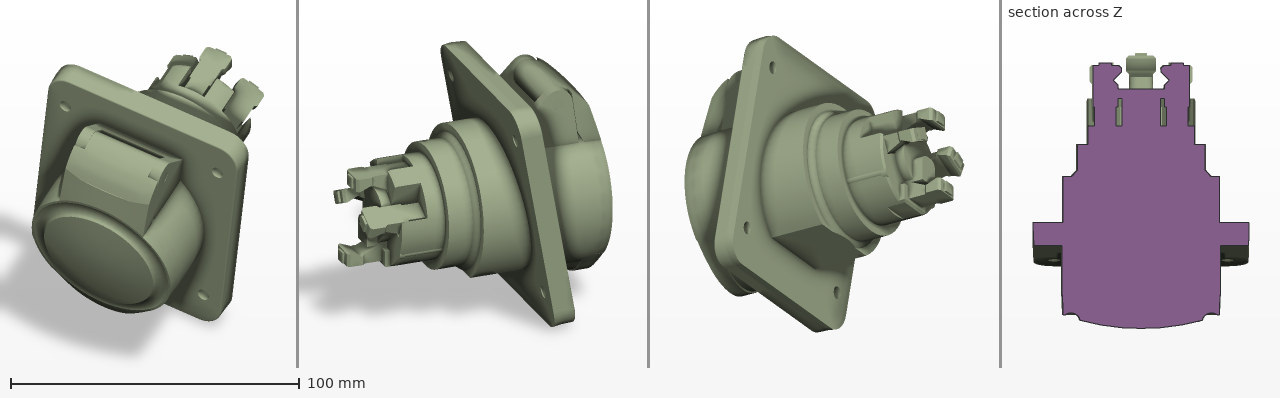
import cadquery as cq
import math


TILT = 10.0
PLATE_WIDTH = 75.0
PLATE_HEIGHT = 85.0
CORNER_R = 8.0
BASE_THICK = 3.0
PLATE_THICK = 8.0
COVER_DRAFT = 3.0
COVER_EDGE_R = 0.5
PLATE_CENTRE_Z = 3.25
PLATE_FRONT_AT_AXIS = 0.0
HOLE_PITCH = 60.0
HOLE_D = 4.4
HOLE_CENTRE_Z = 3.86

LID_FACE_Y = -23.5
LID_SEAM_Y = -16.5
REAR_BODY_START_Y = 2.0
REAR_BODY_END_Y = 24.6
NECK_START_Y = 26.7
NECK_END_Y = 35.6
CORE_END_Y = 51.5
BOSS_END_Y = 54.95
FRONT_BODY_R = 27.7
LID_FACE_R = 27.4
REAR_BODY_R = 27.4
REAR_FLAT_Z = -23.2
NECK_R = 22.5
COLLAR_R = 24.4
CORE_R = 18.9
CORE_CHAMFER_LENGTH = 0.9
CORE_CHAMFER_DEPTH = 0.4
BOSS_R = 10.0

LUG_R = 17.0
BODY_LUG_BOTTOM = -31.2
LID_LUG_BOTTOM = -31.9

ARM_BEVEL_R = 27.6
ARM_BEVEL_ANGLE = 20.5
LUG_BEVEL_R = 26.5
LUG_BEVEL_ANGLE = 19.0
GROOVE_OUTER_R = 26.5
GROOVE_MID_R = 23.9
GROOVE_DEPTH = 0.55
DOME_EDGE_R = 21.5
DOME_EDGE_RISE = 1.9
DOME_RISE = 4.83

HINGE_HALF_WIDTH = 16.45
KNUCKLE_HALF_WIDTH = 12.45
PIN_Y = -7.5
PIN_Z = 38.0
PIN_R = 2.05
PIN_RECESS = 0.1
EAR_R = 5.4
KNUCKLE_R = 5.2
NOTCH_REAR_Y = 0.0
NOTCH_FLOOR_Z = 28.0
HINGE_ROOT_Z = 15.0
EAR_FRONT_ANGLE = 8.0
RAMP_RUN = 12.0
LID_GAP = 0.15
GAP_FLARE_TOP_Z = 26.5
GAP_FLARE_Y = -17.2
GAP_FLARE_Z = 22.15
LID_BACK_Y = -8.66
LID_BACK_Z = 43.2
LID_MID_Y = -16.9
LID_MID_Z = 39.3
LID_SHOULDER_Y = -20.6
LID_SHOULDER_Z = 34.8
LID_CROWN_R = 150.0

CONTACT_RADIUS = 16.25
SIDE_CONTACT_X = 13.25
SIDE_CONTACT_Z = 4.95
SIDE_CONTACT_TURN = 25.0
EARTH_EXTRA = 3.4
CONTACT_END_Y = 63.0
HEAD_HALF = 5.13
SHANK_HALF = 4.15
ROOT_HALF = 3.5
SLOT_HALF = 5.2
SLOT_FLOOR_Y = 42.0
SLOT_DEPTH = 6.5
HEAD_LENGTH = 5.6
HEAD_CHAMFER = 0.9
ROOT_STEP_Y = 48.4
LIP_DEPTH = 4.75
LIP_LENGTH = 1.1
WAIST_DEPTH = 3.07
WAIST_LENGTH = 5.2
WEDGE_SLOPE = 0.44
NUB_HALF = 2.05
NUB_LENGTH = 0.85
NUB_TOP = 0.4
NUB_BOTTOM = 4.3

TERMINAL_HALF = 4.1
TERMINAL_TOP = -0.15
TERMINAL_BOTTOM = -10.1
TERMINAL_ROUND = 2.9
TERMINAL_END_Y = 58.9
RIB_Z = -9.4
RIB_R = 1.55
RIB_HEAD_R = 2.3
RIB_AXIS_R = 17.6
RIB_HEAD_AXIS_R = 16.9
RIB_HEAD_LENGTH = 2.1
FOOT_HALF = 7.0
FOOT_TOP = -11.5
FOOT_BOTTOM = -18.1
FOOT_END_Y = 53.4
FOOT_CHAMFER = 0.8
CORE_FLAT_START_Y = 45.4

SIN_TILT = math.sin(math.radians(TILT))
COS_TILT = math.cos(math.radians(TILT))
TAN_TILT = SIN_TILT / COS_TILT


def disc(radius, y_start, y_end, x=0.0, z=0.0):
    """Cylinder parallel to Y."""
    return cq.Workplane("XZ", origin=(0, y_end, 0)).center(x, z).circle(radius).extrude(y_end - y_start)


def block(x_range, y_range, z_range):
    """Axis-aligned box given by its limits."""
    lows, highs = zip(x_range, y_range, z_range)
    size = [high - low for low, high in zip(lows, highs)]
    return cq.Workplane("XY").box(*size, centered=False).translate(lows)


def revolve_about_y(profile):
    """Turn a profile drawn as (radius, y) about the socket axis."""
    return profile.close().revolve(360, (0, 0, 0), (0, 1, 0))


def tilt_with_plate(shape):
    """Place a shape whose origin is the middle of the plate seam plane."""
    seam_y = PLATE_FRONT_AT_AXIS + (PLATE_THICK - BASE_THICK) / COS_TILT + PLATE_CENTRE_Z * TAN_TILT
    seam_y -= BASE_THICK / 2 * SIN_TILT * TAN_TILT
    seam_z = PLATE_CENTRE_Z + BASE_THICK / 2 * SIN_TILT
    return shape.rotate((0, 0, 0), (1, 0, 0), -TILT).translate((0, seam_y, seam_z))


def rounded_outline(width, height, radius):
    return cq.Sketch().rect(width, height).vertices().fillet(radius)


def make_plate():
    """Slab with a drafted front cover that runs forward along Y, and four holes parallel to Y."""
    cover_thick = PLATE_THICK - BASE_THICK
    inset = cover_thick * math.tan(math.radians(COVER_DRAFT))
    outer = rounded_outline(PLATE_WIDTH, PLATE_HEIGHT, CORNER_R)
    front = rounded_outline(PLATE_WIDTH - 2 * inset, PLATE_HEIGHT - 2 * inset, CORNER_R - inset)
    slump = cq.Location(cq.Vector(0, -cover_thick * TAN_TILT, cover_thick))
    slab = cq.Workplane("XZ").placeSketch(outer).extrude(-BASE_THICK)
    cover = cq.Workplane("XZ").placeSketch(outer, front.moved(slump)).loft()
    cover = cover.faces("<Y").edges().fillet(COVER_EDGE_R)
    plate = tilt_with_plate(slab.union(cover))
    hole_half_rise = HOLE_PITCH / 2 * COS_TILT
    for x in (-HOLE_PITCH / 2, HOLE_PITCH / 2):
        for z in (HOLE_CENTRE_Z - hole_half_rise, HOLE_CENTRE_Z + hole_half_rise):
            plate = plate.cut(disc(HOLE_D / 2, -PLATE_WIDTH, PLATE_WIDTH, x, z))
    return plate


def latch_lug(bottom, y_start, y_end):
    """Rounded toe below the body, widening upwards along 45 degree tangents."""
    centre_z = bottom + LUG_R
    diagonal = math.sqrt(0.5)
    foot = (LUG_R - centre_z * diagonal) * diagonal
    tangent_x = LUG_R * diagonal
    tangent_z = centre_z - LUG_R * diagonal
    toe = (
        cq.Workplane("XZ", origin=(0, y_end, 0))
        .moveTo(-foot, -foot)
        .lineTo(-tangent_x, tangent_z)
        .threePointArc((0, bottom), (tangent_x, tangent_z))
        .lineTo(foot, -foot)
        .lineTo(0, 0)
        .close()
    )
    return toe.extrude(y_end - y_start)


def lid_bevel(face_r, angle):
    """Solid cone that bevels whatever reaches beyond face_r at the lid face."""
    back_y = PLATE_WIDTH
    back_r = face_r + (back_y - LID_FACE_Y) / math.tan(math.radians(angle))
    profile = cq.Workplane("XY").moveTo(0, LID_FACE_Y).lineTo(face_r, LID_FACE_Y)
    return revolve_about_y(profile.lineTo(back_r, back_y).lineTo(0, back_y))


def make_front_body():
    shell = disc(FRONT_BODY_R, LID_SEAM_Y, PLATE_WIDTH)
    shell = shell.union(latch_lug(BODY_LUG_BOTTOM, LID_SEAM_Y, PLATE_WIDTH))
    reach = 2 * PLATE_HEIGHT
    ahead_of_seam = tilt_with_plate(block((-reach, reach), (-reach, 0), (-reach, reach)))
    shell = shell.intersect(ahead_of_seam)
    lid_rim = revolve_about_y(
        cq.Workplane("XY")
        .moveTo(0, LID_FACE_Y)
        .lineTo(LID_FACE_R, LID_FACE_Y)
        .lineTo(FRONT_BODY_R, LID_SEAM_Y)
        .lineTo(0, LID_SEAM_Y)
    )
    lid_lug = latch_lug(LID_LUG_BOTTOM, LID_FACE_Y, LID_SEAM_Y)
    bevel_waste = lid_lug.cut(lid_bevel(LUG_BEVEL_R, LUG_BEVEL_ANGLE))
    return shell.union(lid_rim).union(lid_lug).cut(bevel_waste)


def add_lid_dome(body):
    """Domed centre surrounded by a hollow ring."""
    edge_y = LID_FACE_Y - DOME_EDGE_RISE
    tip_y = LID_FACE_Y - DOME_RISE
    rise = DOME_RISE - DOME_EDGE_RISE
    sphere_r = (DOME_EDGE_R**2 + rise**2) / (2 * rise)
    mid_r = DOME_EDGE_R / 2
    mid_y = tip_y + sphere_r - math.sqrt(sphere_r**2 - mid_r**2)
    dome = revolve_about_y(
        cq.Workplane("XY")
        .moveTo(0, LID_SEAM_Y)
        .lineTo(0, tip_y)
        .threePointArc((mid_r, mid_y), (DOME_EDGE_R, edge_y))
        .threePointArc((GROOVE_MID_R, LID_FACE_Y + GROOVE_DEPTH), (GROOVE_OUTER_R, LID_FACE_Y))
        .lineTo(GROOVE_OUTER_R, LID_SEAM_Y)
    )
    seat = disc(GROOVE_OUTER_R, LID_FACE_Y, LID_SEAM_Y)
    return body.cut(seat).union(dome)


def make_rear_body():
    """Stepped turned body behind the plate, flattened underneath."""
    body = revolve_about_y(
        cq.Workplane("XY")
        .moveTo(0, REAR_BODY_START_Y)
        .lineTo(REAR_BODY_R, REAR_BODY_START_Y)
        .lineTo(REAR_BODY_R, REAR_BODY_END_Y)
        .lineTo(COLLAR_R, REAR_BODY_END_Y)
        .lineTo(NECK_R, NECK_START_Y)
        .lineTo(NECK_R, NECK_END_Y)
        .lineTo(CORE_R, NECK_END_Y)
        .lineTo(CORE_R, CORE_END_Y - CORE_CHAMFER_LENGTH)
        .lineTo(CORE_R - CORE_CHAMFER_DEPTH, CORE_END_Y)
        .lineTo(0, CORE_END_Y)
    )
    reach = REAR_BODY_R
    body_flat = block((-reach, reach), (0, NECK_START_Y), (-2 * reach, REAR_FLAT_Z))
    core_flat = block((-reach, reach), (CORE_FLAT_START_Y, CORE_END_Y), (-2 * reach, FOOT_BOTTOM))
    return body.cut(body_flat).cut(core_flat)


def extrude_across(profile, half_width):
    return profile.close().extrude(half_width, both=True)


def ear_front_y(z):
    """Ear front plane: tangent to the ear rounding and leaning like the plate."""
    angle = math.radians(EAR_FRONT_ANGLE)
    tangent_y = PIN_Y - EAR_R * math.cos(angle)
    tangent_z = PIN_Z + EAR_R * math.sin(angle)
    return tangent_y + (z - tangent_z) * math.tan(angle)


def make_ears():
    """Hinge ears around the pin, running back to the plate on a 45 degree ramp."""
    angle = math.radians(EAR_FRONT_ANGLE)
    front_z = PIN_Z + EAR_R * math.sin(angle)
    diagonal = EAR_R * math.sqrt(0.5)
    ramp_y = PIN_Y + diagonal
    ramp_z = PIN_Z + diagonal
    ears = extrude_across(
        cq.Workplane("YZ")
        .moveTo(ear_front_y(HINGE_ROOT_Z), HINGE_ROOT_Z)
        .lineTo(ear_front_y(front_z), front_z)
        .threePointArc((PIN_Y, PIN_Z + EAR_R), (ramp_y, ramp_z))
        .lineTo(ramp_y + RAMP_RUN, ramp_z - RAMP_RUN)
        .lineTo(ramp_y + RAMP_RUN, HINGE_ROOT_Z),
        HINGE_HALF_WIDTH,
    )
    between = (-KNUCKLE_HALF_WIDTH, KNUCKLE_HALF_WIDTH)
    notch = block(between, (LID_FACE_Y, NOTCH_REAR_Y), (NOTCH_FLOOR_Z, PLATE_HEIGHT))
    ears = ears.cut(notch)
    recess_x = HINGE_HALF_WIDTH - PIN_RECESS
    for x_start in (recess_x, -HINGE_HALF_WIDTH):
        pin_end = cq.Workplane("YZ", origin=(x_start, 0, 0)).center(PIN_Y, PIN_Z).circle(PIN_R)
        ears = ears.cut(pin_end.extrude(PIN_RECESS))
    return ears


def make_lid_arm():
    """Crowned upper part of the lid with the knuckle that fills the space between the ears."""
    arm = extrude_across(
        cq.Workplane("YZ")
        .moveTo(GAP_FLARE_Y, HINGE_ROOT_Z)
        .lineTo(GAP_FLARE_Y, GAP_FLARE_Z)
        .lineTo(ear_front_y(GAP_FLARE_TOP_Z) - LID_GAP, GAP_FLARE_TOP_Z)
        .lineTo(ear_front_y(LID_BACK_Z) - LID_GAP, LID_BACK_Z)
        .lineTo(LID_FACE_Y, LID_BACK_Z)
        .lineTo(LID_FACE_Y, HINGE_ROOT_Z),
        HINGE_HALF_WIDTH,
    )
    across = (-KNUCKLE_HALF_WIDTH, KNUCKLE_HALF_WIDTH)
    arm = arm.union(block(across, (LID_FACE_Y, PIN_Y), (PIN_Z - KNUCKLE_R, LID_BACK_Z)))
    crown_axis_y = LID_SHOULDER_Y + LID_CROWN_R
    crown_front_y = LID_FACE_Y - HINGE_HALF_WIDTH
    crown = (
        cq.Workplane("YZ")
        .moveTo(crown_axis_y, HINGE_ROOT_Z)
        .lineTo(crown_front_y, HINGE_ROOT_Z)
        .lineTo(crown_front_y, LID_SHOULDER_Z)
        .lineTo(LID_SHOULDER_Y, LID_SHOULDER_Z)
        .threePointArc((LID_MID_Y, LID_MID_Z), (LID_BACK_Y, LID_BACK_Z))
        .lineTo(crown_axis_y, LID_BACK_Z)
        .close()
        .revolve(360, (crown_axis_y, 0, 0), (crown_axis_y, 1, 0))
    )
    arm = arm.intersect(crown).intersect(lid_bevel(ARM_BEVEL_R, ARM_BEVEL_ANGLE))
    knuckle = cq.Workplane("YZ").center(PIN_Y, PIN_Z).circle(KNUCKLE_R)
    return arm.union(knuckle.extrude(KNUCKLE_HALF_WIDTH, both=True))


def contact_plan(end_y):
    """Outline of a contact seen on its outer face: wide head, narrower shank and root."""
    neck_y = end_y - HEAD_LENGTH
    step = HEAD_HALF - SHANK_HALF
    right_side = [
        (ROOT_HALF, SLOT_FLOOR_Y),
        (ROOT_HALF, ROOT_STEP_Y),
        (SHANK_HALF, ROOT_STEP_Y),
        (SHANK_HALF, neck_y - step),
        (HEAD_HALF, neck_y),
        (HEAD_HALF, end_y - HEAD_CHAMFER),
        (HEAD_HALF - HEAD_CHAMFER, end_y),
    ]
    left_side = [(-x, y) for x, y in reversed(right_side)]
    return cq.Workplane("XY").polyline(right_side + left_side).close()


def contact_side(end_y):
    """Side outline of a contact, z measured down from its outer face: lip, waist and wedge."""
    waist_y = end_y - WAIST_LENGTH
    wedge_y = waist_y - (SLOT_DEPTH - WAIST_DEPTH) / WEDGE_SLOPE
    points = [
        (SLOT_FLOOR_Y, 0),
        (end_y, 0),
        (end_y, -LIP_DEPTH),
        (end_y - LIP_LENGTH, -LIP_DEPTH),
        (waist_y, -WAIST_DEPTH),
        (wedge_y, -SLOT_DEPTH),
        (SLOT_FLOOR_Y, -SLOT_DEPTH),
    ]
    return cq.Workplane("YZ").polyline(points).close()


def make_contact(end_y):
    """Contact with its outer face on z = 0."""
    contact = contact_plan(end_y).extrude(-SLOT_DEPTH)
    contact = contact.intersect(contact_side(end_y).extrude(HEAD_HALF, both=True))
    nub = block((-NUB_HALF, NUB_HALF), (end_y, end_y + NUB_LENGTH), (-NUB_BOTTOM, -NUB_TOP))
    return contact.union(nub)


def place_about_y(shape, x, z, turn):
    """Turn a contact shape about Y, then move its outer face centre to (x, z)."""
    return shape.rotate((0, 0, 0), (0, 1, 0), turn).translate((x, 0, z))


def add_contacts(core):
    """Top contact and two turned side contacts in open slots, earth contact at the bottom."""
    slot = block((-SLOT_HALF, SLOT_HALF), (SLOT_FLOOR_Y, CORE_END_Y), (-SLOT_DEPTH, CORE_R))
    placements = [
        (0, CONTACT_RADIUS, 0),
        (-SIDE_CONTACT_X, SIDE_CONTACT_Z, -SIDE_CONTACT_TURN),
        (SIDE_CONTACT_X, SIDE_CONTACT_Z, SIDE_CONTACT_TURN),
    ]
    contact = make_contact(CONTACT_END_Y)
    for placement in placements:
        core = core.cut(place_about_y(slot, *placement))
    for placement in placements:
        core = core.union(place_about_y(contact, *placement))
    earth = make_contact(CONTACT_END_Y + EARTH_EXTRA)
    return core.union(place_about_y(earth, 0, -CONTACT_RADIUS, 180))


def make_rear_details():
    """Centre boss, terminal block, foot around the earth contact and two headed side ribs."""
    boss = disc(BOSS_R, NECK_END_Y, BOSS_END_Y)
    terminal = block(
        (-TERMINAL_HALF, TERMINAL_HALF), (NECK_END_Y, TERMINAL_END_Y), (TERMINAL_BOTTOM, TERMINAL_TOP)
    )
    terminal = terminal.edges("|Y and >Z").fillet(TERMINAL_ROUND)
    foot = block((-FOOT_HALF, FOOT_HALF), (NECK_END_Y, FOOT_END_Y), (FOOT_BOTTOM, FOOT_TOP))
    foot = foot.faces(">Y").edges("<Z").chamfer(FOOT_CHAMFER)
    details = boss.union(terminal).union(foot.intersect(disc(CORE_R, NECK_END_Y, FOOT_END_Y)))
    rib_x = math.sqrt(RIB_AXIS_R**2 - RIB_Z**2)
    head_x = math.sqrt(RIB_HEAD_AXIS_R**2 - RIB_Z**2)
    head_y = CORE_END_Y - RIB_HEAD_LENGTH
    for side in (-1, 1):
        details = details.union(disc(RIB_R, NECK_END_Y, head_y, side * rib_x, RIB_Z))
        details = details.union(disc(RIB_HEAD_R, head_y, CORE_END_Y, side * head_x, RIB_Z))
    return details


socket = make_plate().union(make_front_body()).union(make_rear_body())
socket = socket.union(make_ears()).union(make_lid_arm())
socket = add_lid_dome(socket)
result = add_contacts(socket.union(make_rear_details()))